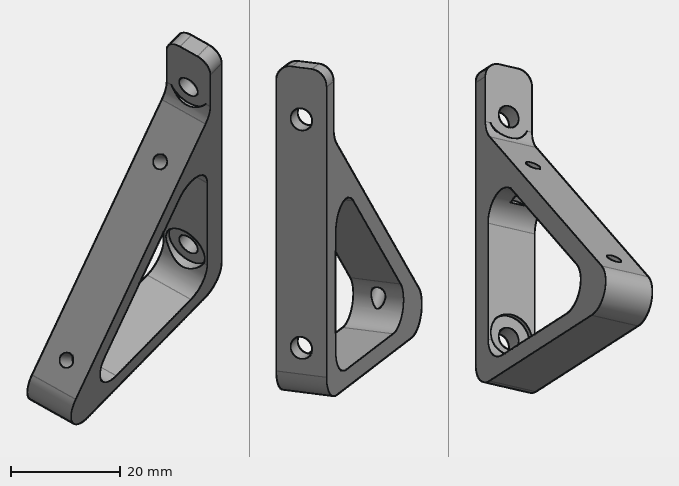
import cadquery as cq
import math

width = 10.0
depth = 46.4
height = 64.0

tab_thickness = 3.5
wall_thickness = 4.5
base_thickness = 3.5
strut_thickness = 3.85
corner_radius = 5.0
tab_corner_radius = 3.0

mount_hole_diameter = 4.2
counterbore_diameter = 8.8
counterbore_length = 5.1
mount_hole_end_distance = 10.0
strut_hole_diameter = 2.8
strut_hole_depth = 8.0
strut_hole_heights = (12.4, 41.2)

outer_slope_sum = depth + corner_radius * math.sqrt(2)
inner_slope_sum = outer_slope_sum - strut_thickness * math.sqrt(2)
back = depth / 2


def make_body():
    toe_center_distance = depth - corner_radius
    toe_tangent = corner_radius / math.sqrt(2)
    toe_start = (back - toe_center_distance, 0)
    toe_tip = (back - depth, corner_radius)
    toe_end = (back - toe_center_distance - toe_tangent, corner_radius + toe_tangent)
    body = (
        cq.Workplane("YZ")
        .moveTo(back, 0)
        .lineTo(*toe_start)
        .threePointArc(toe_tip, toe_end)
        .lineTo(back - tab_thickness, outer_slope_sum - tab_thickness)
        .lineTo(back - tab_thickness, height)
        .lineTo(back, height)
        .close()
        .extrude(width / 2, both=True)
    )
    heel = cq.NearestToPointSelector((0, back, 0))
    tab_root = cq.NearestToPointSelector((0, back - tab_thickness, outer_slope_sum - tab_thickness))
    body = body.edges("|X").edges(heel).fillet(corner_radius)
    body = body.edges("|X").edges(tab_root).fillet(corner_radius)
    return body.edges("|Y and >Z").fillet(tab_corner_radius)


def make_window():
    corners = [
        (back - wall_thickness, base_thickness),
        (back - (inner_slope_sum - base_thickness), base_thickness),
        (back - wall_thickness, inner_slope_sum - wall_thickness),
    ]
    prism = cq.Workplane("YZ").polyline(corners).close().extrude(width / 2, both=True)
    return prism.edges("|X").fillet(corner_radius)


def make_cylinder(diameter, length, start, direction):
    cylinder = cq.Solid.makeCylinder(diameter / 2, length, cq.Vector(*start), cq.Vector(*direction))
    return cq.Workplane(cylinder)


def make_mount_hole(z):
    """Hole through the wall with a counterbore sunk to the tab's front face."""
    seat = (0, back - tab_thickness, z)
    hole = make_cylinder(mount_hole_diameter, tab_thickness, seat, (0, 1, 0))
    counterbore = make_cylinder(counterbore_diameter, counterbore_length, seat, (0, -1, 0))
    return hole.union(counterbore)


def make_strut_hole(z):
    """Hole square to the sloping face, reaching into the window."""
    mouth = (0, back - (outer_slope_sum - z), z)
    return make_cylinder(strut_hole_diameter, strut_hole_depth, mouth, (0, 1, -1))


result = make_body().cut(make_window())
for z in (mount_hole_end_distance, height - mount_hole_end_distance):
    result = result.cut(make_mount_hole(z))
for z in strut_hole_heights:
    result = result.cut(make_strut_hole(z))